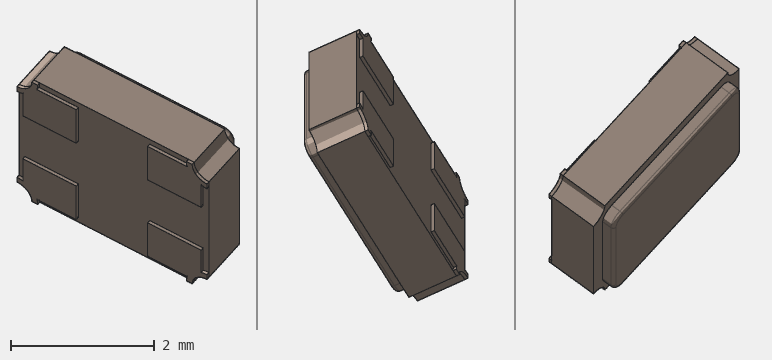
import cadquery as cq

length = 3.2
height = 2.5
depth = 1.0

pad_thickness = 0.05
lid_thickness = 0.2
base_depth = depth - pad_thickness - lid_thickness
notch_radius = 0.25
lid_inset = 0.2
lid_corner_radius = 0.2
lid_edge_radius = 0.05

pad_margin = 0.1
pad_reach_x = 1.0
pad_reach_z = 0.8
collar_radius = 0.35

pad_face_y = -depth / 2
base_front_y = pad_face_y + pad_thickness
base_back_y = base_front_y + base_depth

corners = [(sx * length / 2, sz * height / 2) for sx in (-1, 1) for sz in (-1, 1)]


def plane_at(y):
    """XZ plane at the given Y whose extrusions run toward +Y (local y is -Z)."""
    return cq.Workplane(cq.Plane(origin=(0, y, 0), xDir=(1, 0, 0), normal=(0, 1, 0)))


def make_housing():
    """Base block with round corner notches and a lid with rounded edges."""
    base = plane_at(base_front_y).rect(length, height).extrude(base_depth)
    notches = plane_at(base_front_y).pushPoints(corners).circle(notch_radius).extrude(base_depth)
    lid = (
        plane_at(base_back_y)
        .rect(length - 2 * lid_inset, height - 2 * lid_inset)
        .extrude(lid_thickness)
        .edges("|Y").fillet(lid_corner_radius)
        .faces(">Y").edges().fillet(lid_edge_radius)
    )
    return base.cut(notches).union(lid)


def make_pad(corner):
    """Rectangular pad joined to a collar around the notch at one corner."""
    corner_x, corner_y = corner
    inward_x = -1 if corner_x > 0 else 1
    inward_y = -1 if corner_y > 0 else 1

    rectangle = (
        plane_at(pad_face_y)
        .center(
            corner_x + inward_x * (pad_margin + pad_reach_x) / 2,
            corner_y + inward_y * (pad_margin + pad_reach_z) / 2,
        )
        .rect(pad_reach_x - pad_margin, pad_reach_z - pad_margin)
        .extrude(pad_thickness)
    )
    footprint = plane_at(pad_face_y).rect(length, height).extrude(pad_thickness)
    collar = plane_at(pad_face_y).center(*corner).circle(collar_radius).extrude(pad_thickness)
    notch = plane_at(pad_face_y).center(*corner).circle(notch_radius).extrude(pad_thickness)
    return rectangle.union(collar.intersect(footprint)).cut(notch)


housing = make_housing()
pads = [make_pad(corner).solids().val() for corner in corners]

result = cq.Compound.makeCompound([housing.solids().val(), *pads])